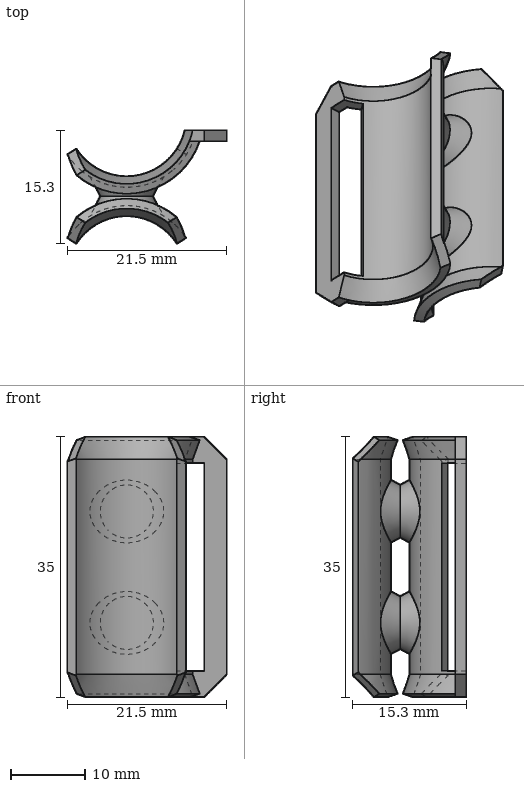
import cadquery as cq
import math

height = 35
half_height = height / 2

inner_radius = 8.0
wall = 1.47
outer_radius = inner_radius + wall
axis_y = 10.7
half_angle = 57.5

flare_height = 3.05
flare_angle = 19
kink_z = half_height - flare_height

bevel_start_z = 14.15
bevel_tilt = 13
bevel_tool_width = 14
bevel_tool_depth = 7

boss_radius = 3.57
boss_angle = 28
boss_length = 4.2
boss_offset = 7.5

plate_back_y = 8.9
plate_right_x = 13.48
plate_thickness = 1.5
plate_chamfer = 3.05
window_right_x = 10.43
window_height = 27.93
loop_sector_angle = 90
reach = 35


def edge_direction(angle):
    """Unit vector from the clip axis, measured from -Y towards +X."""
    return math.sin(math.radians(angle)), -math.cos(math.radians(angle))


def sector(start_angle, end_angle):
    """Tall wedge around the back clip axis; it must span less than 180 degrees."""
    start_x, start_y = edge_direction(start_angle)
    end_x, end_y = edge_direction(end_angle)
    middle_x, middle_y = edge_direction((start_angle + end_angle) / 2)
    return (
        cq.Workplane("XY", origin=(0, axis_y, -half_height))
        .moveTo(0, 0)
        .lineTo(reach * start_x, reach * start_y)
        .threePointArc((reach * middle_x, reach * middle_y), (reach * end_x, reach * end_y))
        .close()
        .extrude(height)
    )


def revolve_about_axis(points):
    """Revolve (radius, height) points about the back clip axis."""
    return (
        cq.Workplane("XZ", origin=(0, axis_y, 0))
        .polyline(points)
        .close()
        .revolve(360, (0, 0, 0), (0, 1, 0))
    )


flare = math.radians(flare_angle)
rim_inner_radius = inner_radius + flare_height * math.tan(flare)
flare_wall = wall * math.cos(flare)
rim_outer_radius = rim_inner_radius + flare_wall * math.cos(flare)
rim_outer_z = half_height - flare_wall * math.sin(flare)


def flared_tube():
    return revolve_about_axis([
        (inner_radius, -kink_z),
        (inner_radius, kink_z),
        (rim_inner_radius, half_height),
        (rim_outer_radius, rim_outer_z),
        (outer_radius, kink_z),
        (outer_radius, -kink_z),
        (rim_outer_radius, -rim_outer_z),
        (rim_inner_radius, -half_height),
    ])


def tube_bore():
    return revolve_about_axis([
        (0, -half_height),
        (rim_inner_radius, -half_height),
        (inner_radius, -kink_z),
        (inner_radius, kink_z),
        (rim_inner_radius, half_height),
        (0, half_height),
    ])


def corner_bevel(side, end):
    """Cutting block for one corner; side is the sign of X and end the sign of Z."""
    radial_x, radial_y = edge_direction(side * half_angle)
    radial = cq.Vector(radial_x, radial_y, 0)
    tangent = cq.Vector(-side * radial_y, side * radial_x, 0)
    slope = (tangent + cq.Vector(0, 0, end)).normalized()
    tilt = math.radians(bevel_tilt)
    normal = slope * math.cos(tilt) + radial * math.sin(tilt)
    corner = cq.Vector(0, axis_y, end * bevel_start_z) + radial * outer_radius
    plane = cq.Plane(origin=corner, xDir=radial.cross(slope), normal=normal)
    return cq.Workplane(plane).rect(bevel_tool_width, bevel_tool_width).extrude(bevel_tool_depth)


def bosses():
    """Two cones from the contact plane, ending inside the back clip wall."""
    wide_radius = boss_radius + boss_length * math.tan(math.radians(boss_angle))
    wall_space = (
        cq.Workplane("XY", origin=(0, axis_y, -half_height))
        .circle((inner_radius + outer_radius) / 2)
        .extrude(height)
    )
    cones = cq.Workplane("XY")
    for z in (-boss_offset, boss_offset):
        base = cq.Vector(0, 0, z)
        cone = cq.Solid.makeCone(boss_radius, wide_radius, boss_length, base, cq.Vector(0, 1, 0))
        cones = cones.add(cq.Workplane(cone).cut(wall_space).val())
    return cones


def add_bosses(clip):
    for boss in bosses().vals():
        clip = clip.union(cq.Workplane(boss))
    return clip


def make_plain_clip():
    """Symmetric clip on the +Y side, bevelled at all four corners."""
    clip = flared_tube().intersect(sector(-half_angle, half_angle))
    for side in (-1, 1):
        for end in (-1, 1):
            clip = clip.cut(corner_bevel(side, end))
    return add_bosses(clip)


def strap_plate():
    """Flat plate with chamfered outer corners, shaped to the bore on its left."""
    return (
        cq.Workplane("XY")
        .box(plate_right_x, plate_thickness, height, centered=(False, False, True))
        .translate((0, plate_back_y - plate_thickness, 0))
        .edges("|Y and >X")
        .chamfer(plate_chamfer)
        .cut(tube_bore())
    )


def strap_window():
    """Opening between the edge of the curved wall and the outer bar of the plate."""
    block = cq.Workplane("XY").box(window_right_x, reach, window_height, centered=(False, True, True))
    return block.intersect(sector(half_angle, half_angle + loop_sector_angle))


def make_loop_clip():
    """Clip whose +X side carries on into a strap loop; bevelled on the -X side."""
    clip = flared_tube().intersect(sector(-half_angle, loop_sector_angle))
    behind_plate = (
        cq.Workplane("XY")
        .box(reach, reach, height, centered=(True, False, True))
        .translate((0, plate_back_y, 0))
    )
    clip = clip.cut(behind_plate).union(strap_plate()).cut(strap_window())
    for end in (-1, 1):
        clip = clip.cut(corner_bevel(-1, end))
    return add_bosses(clip)


back_clip = make_loop_clip()
front_clip = make_plain_clip().mirror("XZ")

result = cq.Compound.makeCompound([back_clip.solids().val(), front_clip.solids().val()])